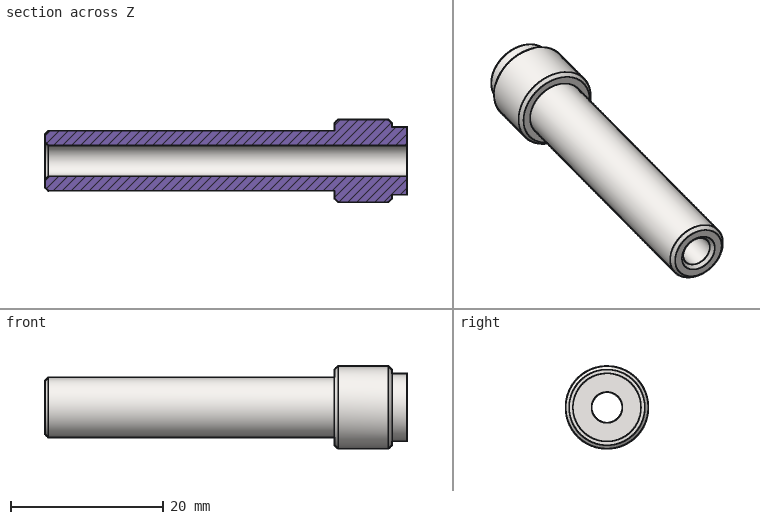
import cadquery as cq

total_length = 47.6
spigot_length = 2.0
collar_length = 7.55
shaft_length = total_length - collar_length - spigot_length

shaft_diameter = 7.95
collar_diameter = 10.9
spigot_diameter = 8.95
bore_diameter = 4.0

chamfer_size = 0.5


def cylinder_along_x(start, length, diameter):
    """Solid cylinder centred on the X axis, running toward +X from start."""
    return cq.Workplane("YZ", origin=(start, 0, 0)).circle(diameter / 2).extrude(length)


shaft = cylinder_along_x(0, shaft_length, shaft_diameter).faces("<X").chamfer(chamfer_size)

collar = cylinder_along_x(shaft_length, collar_length, collar_diameter)
collar = collar.faces("<X or >X").chamfer(chamfer_size)

spigot = cylinder_along_x(shaft_length + collar_length, spigot_length, spigot_diameter)

body = shaft.union(collar).union(spigot)
body = body.cut(cylinder_along_x(0, total_length, bore_diameter))
bore_mouth = body.faces("<X").edges(cq.selectors.RadiusNthSelector(0))
result = bore_mouth.chamfer(chamfer_size)